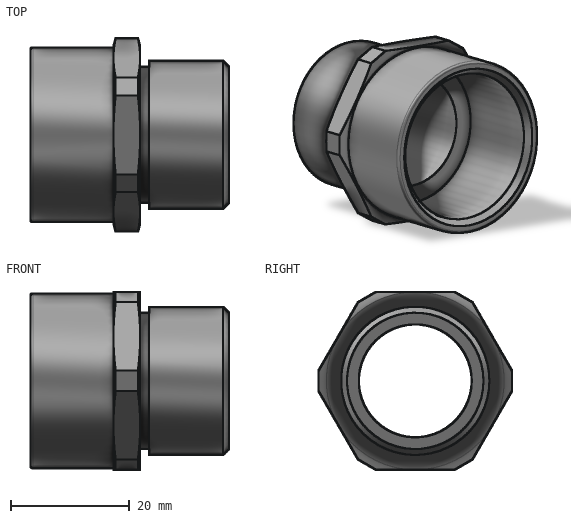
import cadquery as cq
import math

socket_length = 14.0
hex_width = 4.5
neck_width = 1.5
overall_length = 33.5
hex_start = socket_length
hex_end = hex_start + hex_width
spigot_start = hex_end + neck_width
socket_bore_depth = 16.0

socket_diameter = 29.5
neck_diameter = 23.0
spigot_diameter = 25.0
socket_bore_diameter = 25.0
through_bore_diameter = 19.0

hex_sides = 6
half_side_angle = 180 / hex_sides
across_flats = 30.0
across_cut_corners = 32.64
collar_chamfer_angle = 15.0

rim_fillet = 0.4
spigot_chamfer = 1.0
bore_lead_in = 1.0


def cylinder_along_x(diameter, start, end):
    return cq.Workplane("YZ", origin=(start, 0, 0)).circle(diameter / 2).extrude(end - start)


def hexagonal_prism(flat_distance, flats_face_z):
    """Hexagon between the collar faces, with a pair of flats facing either Z or Y."""
    corner_diameter = flat_distance / math.cos(math.radians(half_side_angle))
    turn = 0 if flats_face_z else half_side_angle
    outline = cq.Workplane("YZ", origin=(hex_start, 0, 0)).polygon(hex_sides, corner_diameter)
    return outline.extrude(hex_width).rotate((0, 0, 0), (1, 0, 0), turn)


def chamfer_envelope():
    """Disc with conical edges, tapering to the across-flats circle at both faces."""
    face_radius = across_flats / 2
    outer_radius = face_radius / math.cos(math.radians(half_side_angle))
    chamfer_width = (outer_radius - face_radius) * math.tan(math.radians(collar_chamfer_angle))
    profile = [
        (hex_start, 0),
        (hex_start, face_radius),
        (hex_start + chamfer_width, outer_radius),
        (hex_end - chamfer_width, outer_radius),
        (hex_end, face_radius),
        (hex_end, 0),
    ]
    return cq.Workplane("XY").polyline(profile).close().revolve(360, (0, 0, 0), (1, 0, 0))


def make_collar():
    hexagon = hexagonal_prism(across_flats, flats_face_z=True)
    corner_cut = hexagonal_prism(across_cut_corners, flats_face_z=False)
    return hexagon.intersect(corner_cut).intersect(chamfer_envelope())


def make_socket():
    return cylinder_along_x(socket_diameter, 0, hex_start).faces("<X").edges().fillet(rim_fillet)


def make_spigot():
    spigot = cylinder_along_x(spigot_diameter, spigot_start, overall_length)
    return spigot.faces(">X").edges().chamfer(spigot_chamfer)


def make_bore():
    """Stepped bore with a conical lead-in at the open end of the socket."""
    through_radius = through_bore_diameter / 2
    socket_radius = socket_bore_diameter / 2
    profile = [
        (0, 0),
        (0, socket_radius + bore_lead_in),
        (bore_lead_in, socket_radius),
        (socket_bore_depth, socket_radius),
        (socket_bore_depth, through_radius),
        (overall_length, through_radius),
        (overall_length, 0),
    ]
    return cq.Workplane("XY").polyline(profile).close().revolve(360, (0, 0, 0), (1, 0, 0))


neck = cylinder_along_x(neck_diameter, hex_end, spigot_start)
outer_shape = make_socket().union(make_collar()).union(neck).union(make_spigot())
result = outer_shape.cut(make_bore())